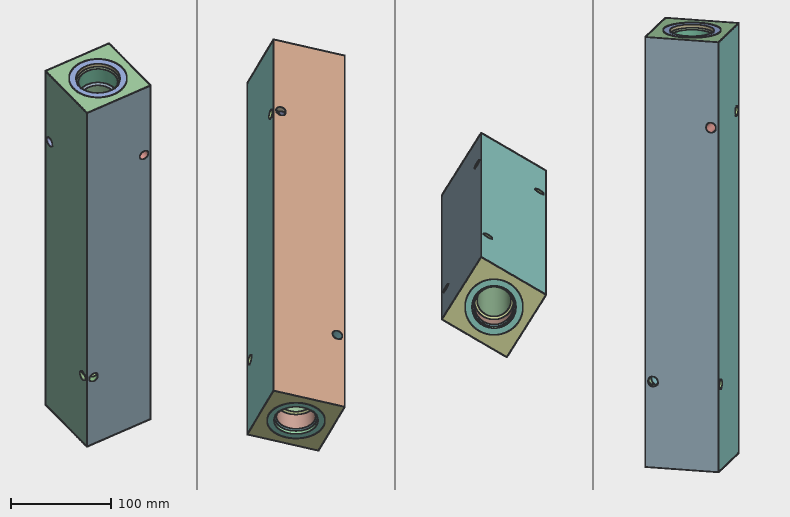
import cadquery as cq
import math

length = 444.5
width = 76.0
edge_chamfer = 0.22

main_bore_diameter = 34.0
spot_face_diameter = 58.0
spot_face_depth = 0.5
port_diameter = 39.0
port_depth = 23.0
drill_point_angle = 118
mouth_diameter = 44.0
mouth_depth = 3.5
mouth_taper = 15

cross_hole_diameter = 10.2
cross_hole_edge_distance = 8.0
cross_hole_end_distance = 89
cross_hole_offset = width / 2 - cross_hole_edge_distance
cross_hole_height = length / 2 - cross_hole_end_distance


def port_cutter():
    """Stepped solid of revolution removed from the upper end."""
    top = length / 2
    main_radius = main_bore_diameter / 2
    port_radius = port_diameter / 2
    mouth_radius = mouth_diameter / 2
    spot_face_radius = spot_face_diameter / 2
    throat_radius = mouth_radius - (mouth_depth - spot_face_depth) * math.tan(math.radians(mouth_taper))
    throat_cone_height = throat_radius - port_radius
    floor_cone_height = (port_radius - main_radius) / math.tan(math.radians(drill_point_angle / 2))
    profile = [
        (0, top),
        (spot_face_radius, top),
        (spot_face_radius, top - spot_face_depth),
        (mouth_radius, top - spot_face_depth),
        (throat_radius, top - mouth_depth),
        (port_radius, top - mouth_depth - throat_cone_height),
        (port_radius, top - port_depth),
        (main_radius, top - port_depth - floor_cone_height),
        (0, top - port_depth - floor_cone_height),
    ]
    return cq.Workplane("XZ").polyline(profile).close().revolve(360, (0, 0), (0, 1))


def cross_holes(plane, upper_side):
    """Upper and lower through holes; upper_side is the sign of the upper hole's sideways offset."""
    upper = (upper_side * cross_hole_offset, cross_hole_height)
    lower = (-upper_side * cross_hole_offset, -cross_hole_height)
    circles = cq.Workplane(plane).pushPoints([upper, lower]).circle(cross_hole_diameter / 2)
    return circles.extrude(width, both=True)


bar = cq.Workplane("XY").box(width, width, length).edges().chamfer(edge_chamfer)
main_bore = cq.Workplane("XY").circle(main_bore_diameter / 2).extrude(length, both=True)
upper_port = port_cutter()
lower_port = upper_port.mirror("XY")

result = bar.cut(main_bore).cut(upper_port).cut(lower_port)
result = result.cut(cross_holes("XZ", -1))
result = result.cut(cross_holes("YZ", 1))